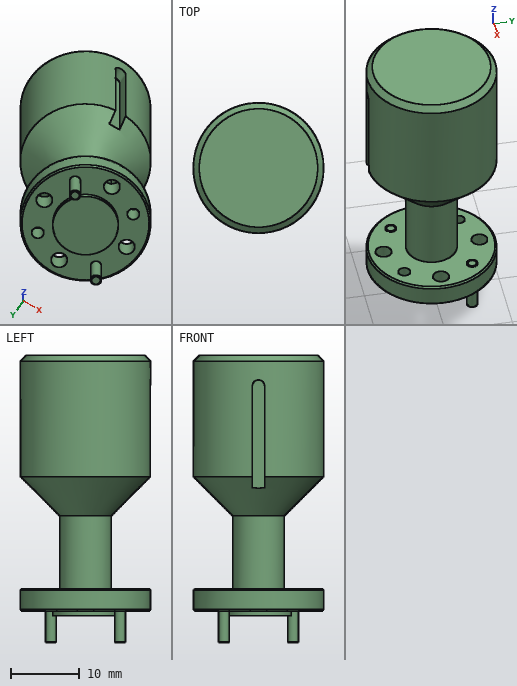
import cadquery as cq
import math

total_height = 41.95
body_radius = 9.53

flange_bottom = 4.6
flange_top = 7.9
flange_chamfer = 0.25
boss_radius = 4.8
boss_height = 0.67

neck_radius = 3.78
head_bottom = 24.25
cone_height = body_radius - neck_radius
head_chamfer = 0.9

slot_width = 1.75
slot_depth = 1.68
slot_top = 38.35

pitch_radius = 7.15
screw_hole_radius = 1.18
dowel_hole_radius = 0.9
pin_radius = 0.8
pin_chamfer = 0.15
screw_angles = [0, 90, 180, 270]
dowel_angles = [135, 315]
pin_angles = [45, 225]


def pitch_point(angle):
    """Return the point on the pitch circle at an angle in degrees."""
    turn = math.radians(angle)
    return (pitch_radius * math.cos(turn), pitch_radius * math.sin(turn))


def make_flange():
    flange = (
        cq.Workplane("XY", origin=(0, 0, flange_bottom))
        .circle(body_radius)
        .extrude(flange_top - flange_bottom)
        .edges()
        .chamfer(flange_chamfer)
    )
    boss = (
        cq.Workplane("XY", origin=(0, 0, flange_bottom))
        .circle(boss_radius)
        .extrude(-boss_height)
    )
    return flange.union(boss)


def make_neck_and_head():
    """Revolve the neck, cone and chamfered head about Z."""
    return (
        cq.Workplane("XZ")
        .moveTo(0, flange_top)
        .lineTo(neck_radius, flange_top)
        .lineTo(neck_radius, head_bottom - cone_height)
        .lineTo(body_radius, head_bottom)
        .lineTo(body_radius, total_height - head_chamfer)
        .lineTo(body_radius - head_chamfer, total_height)
        .lineTo(0, total_height)
        .close()
        .revolve(360, (0, 0), (0, 1))
    )


def make_slot_cutter():
    """Make a round-topped cutter that runs down past the cone at the slot floor."""
    half_width = slot_width / 2
    arc_center = slot_top - half_width
    cutter_bottom = head_bottom - cone_height
    return (
        cq.Workplane("XZ", origin=(0, slot_depth - body_radius, 0))
        .moveTo(-half_width, cutter_bottom)
        .lineTo(half_width, cutter_bottom)
        .lineTo(half_width, arc_center)
        .threePointArc((0, slot_top), (-half_width, arc_center))
        .close()
        .extrude(slot_depth)
    )


def make_hole_cutters(angles, radius):
    """Make cylinders through the flange at the given pitch angles."""
    return (
        cq.Workplane("XY", origin=(0, 0, flange_bottom))
        .pushPoints([pitch_point(angle) for angle in angles])
        .circle(radius)
        .extrude(flange_top - flange_bottom)
    )


def make_pin(angle):
    """Make a pin with both ends chamfered, its upper end level with the flange."""
    return (
        cq.Workplane("XY")
        .center(*pitch_point(angle))
        .circle(pin_radius)
        .extrude(flange_top)
        .edges("%CIRCLE")
        .chamfer(pin_chamfer)
    )


def make_housing():
    housing = make_flange().union(make_neck_and_head()).cut(make_slot_cutter())
    housing = housing.cut(make_hole_cutters(screw_angles, screw_hole_radius))
    housing = housing.cut(make_hole_cutters(dowel_angles, dowel_hole_radius))
    return housing.cut(make_hole_cutters(pin_angles, pin_radius))


housing = make_housing()
pins = [make_pin(angle) for angle in pin_angles]

result = cq.Compound.makeCompound([housing.val(), *[pin.val() for pin in pins]])